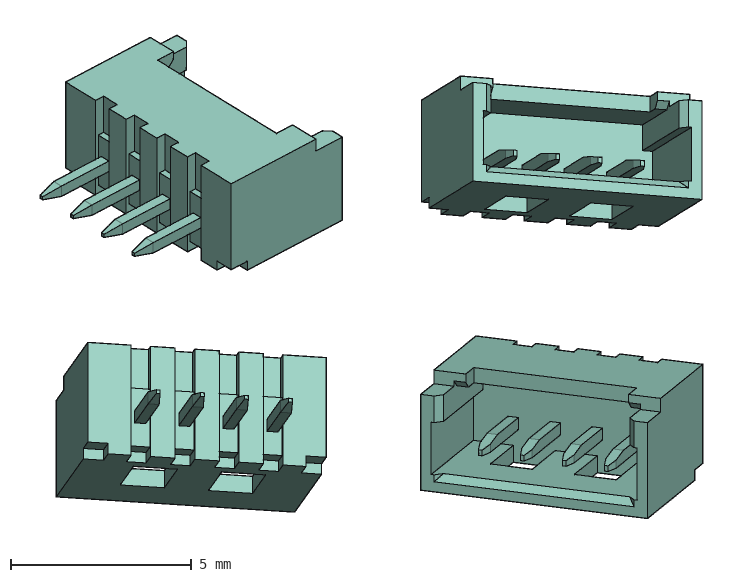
import cadquery as cq
import math


width = 6.75
depth = 4.2
height = 3.2

pin_count = 4
pin_pitch = 1.25
pin_width = 0.31
pin_height = 0.35
pin_axis_z = 1.155
tail_length = 2.3
tail_taper_length = 0.61
tail_tip_width = 0.11
tail_tip_height = 0.11
pin_setback = 0.7
mating_taper_length = 0.36
mating_tip_width = 0.11
mating_slope_angle = 11.7

cavity_width = 5.54
floor_thickness = 0.5
roof_thickness = 0.445
rear_wall = 1.0
lead_in = 0.2
groove_depth = 0.29
groove_top = 2.025

rim_drop = 0.4
rim_length = 1.0
roof_notch_width = 4.845
roof_notch_length = 1.605
window_setback = 1.46

slot_width = 0.555
slot_upper_depth = 0.305
slot_lower_depth = 0.1
slot_step_z = 1.985
relief_height = 0.305
relief_depth = 0.61
corner_relief_width = 0.575

roof_front = depth - rim_length
cavity_ceiling = height - roof_thickness
pin_positions = [(i - (pin_count - 1) / 2) * pin_pitch for i in range(pin_count)]


def block(x_center, x_size, y_start, y_end, z_start, z_end):
    """Box centred on x_center, between the given Y and Z limits."""
    box = cq.Workplane("XY").box(x_size, y_end - y_start, z_end - z_start, centered=(True, False, False))
    return box.translate((x_center, y_start, z_start))


def make_cavity():
    """Mating space with grooved sides and a lead-in at the mouth."""
    half = cavity_width / 2
    cavity = block(0, cavity_width, rear_wall, depth, floor_thickness, cavity_ceiling)

    cavity = cavity.union(block(0, cavity_width, roof_front, depth, floor_thickness, height))
    grooves = block(0, cavity_width + 2 * groove_depth, rear_wall, depth, floor_thickness, groove_top)

    side_lead_in = (
        cq.Workplane("XY", origin=(0, 0, floor_thickness))
        .polyline([
            (-half, depth - lead_in),
            (half, depth - lead_in),
            (half + lead_in, depth),
            (-half - lead_in, depth),
        ])
        .close()
        .extrude(height - floor_thickness)
    )
    floor_lead_in = (
        cq.Workplane("YZ", origin=(-half - lead_in, 0, 0))
        .polyline([
            (depth - lead_in, floor_thickness),
            (depth, floor_thickness),
            (depth, floor_thickness - lead_in),
        ])
        .close()
        .extrude(cavity_width + 2 * lead_in)
        .intersect(side_lead_in.translate((0, 0, -lead_in)))
    )
    roof_lead_in = (
        cq.Workplane("YZ", origin=(-half, 0, 0))
        .polyline([
            (roof_front - lead_in, cavity_ceiling),
            (roof_front, cavity_ceiling),
            (roof_front, cavity_ceiling + lead_in),
        ])
        .close()
        .extrude(cavity_width)
    )
    return cavity.union(grooves).union(side_lead_in).union(floor_lead_in).union(roof_lead_in)


def make_rear_slot(x):
    """Stepped vertical slot behind one pin, with a relief under it."""
    slot = block(x, slot_width, 0, slot_lower_depth, 0, height)
    slot = slot.union(block(x, slot_width, 0, slot_upper_depth, slot_step_z, height))
    return slot.union(block(x, slot_width, 0, relief_depth, 0, relief_height))


def make_housing():
    housing = block(0, width, 0, depth, 0, height)

    housing = housing.cut(block(0, width, roof_front, depth, height - rim_drop, height))
    housing = housing.cut(make_cavity())
    housing = housing.cut(
        block(0, roof_notch_width, depth - roof_notch_length, depth, cavity_ceiling, height)
    )

    for left, right in zip(pin_positions[::2], pin_positions[1::2]):
        center = (left + right) / 2
        housing = housing.cut(
            block(center, pin_pitch, rear_wall, depth - window_setback, 0, floor_thickness)
        )

    for x in pin_positions:
        housing = housing.cut(make_rear_slot(x))

    for side in (-1, 1):
        x = side * (width - corner_relief_width) / 2
        housing = housing.cut(block(x, corner_relief_width, 0, relief_depth, 0, relief_height))
    return housing


def make_pin():
    """Pin along Y at X = 0, with a pyramidal tail tip and a sloped mating end."""
    tail_taper_start = tail_taper_length - tail_length
    mating_tip = depth - pin_setback
    mating_taper_start = mating_tip - mating_taper_length
    slope_start = depth - roof_notch_length
    slope_drop = (mating_tip - slope_start) * math.tan(math.radians(mating_slope_angle))
    bottom = pin_axis_z - pin_height / 2
    top = pin_axis_z + pin_height / 2

    side_profile = (
        cq.Workplane("YZ", origin=(-pin_width / 2, 0, 0))
        .polyline([
            (tail_taper_start, bottom),
            (mating_tip, bottom),
            (mating_tip, top - slope_drop),
            (slope_start, top),
            (tail_taper_start, top),
        ])
        .close()
        .extrude(pin_width)
    )
    plan_profile = (
        cq.Workplane("XY", origin=(0, 0, bottom))
        .polyline([
            (-pin_width / 2, tail_taper_start),
            (pin_width / 2, tail_taper_start),
            (pin_width / 2, mating_taper_start),
            (mating_tip_width / 2, mating_tip),
            (-mating_tip_width / 2, mating_tip),
            (-pin_width / 2, mating_taper_start),
        ])
        .close()
        .extrude(pin_height)
    )
    tail_tip = (
        cq.Workplane("XZ", origin=(0, tail_taper_start, pin_axis_z))
        .rect(pin_width, pin_height)
        .workplane(offset=tail_taper_length)
        .rect(tail_tip_width, tail_tip_height)
        .loft(ruled=True)
    )
    return side_profile.intersect(plan_profile).union(tail_tip)


result = make_housing()
pin = make_pin()
for pin_x in pin_positions:
    result = result.union(pin.translate((pin_x, 0, 0)))